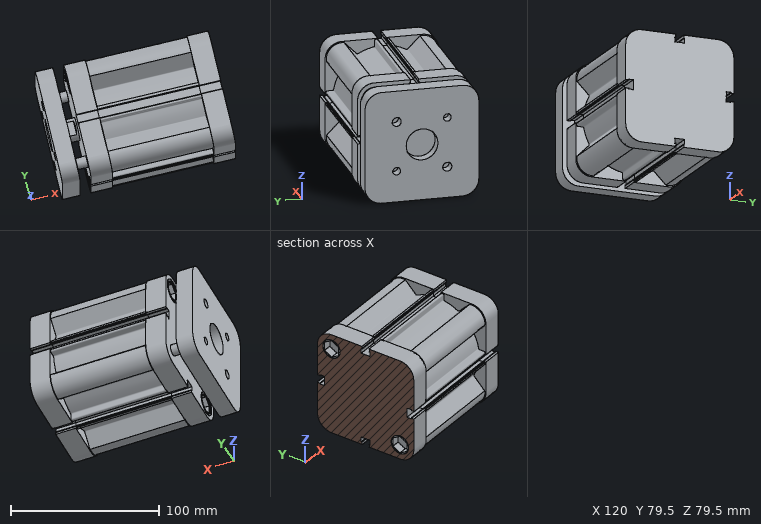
import cadquery as cq
import math

LENGTH = 120.0
SIDE = 79.5
PLATE_THICKNESS = 12.2
CAP_THICKNESS = 14.9
FRONT_CAP_X = 19.8
BARREL_X = FRONT_CAP_X + CAP_THICKNESS
REAR_CAP_X = LENGTH - CAP_THICKNESS
BARREL_LENGTH = REAR_CAP_X - BARREL_X
GAP_LENGTH = FRONT_CAP_X - PLATE_THICKNESS

CORNER_RADIUS = 11.6
CORNER_OFFSET = SIDE / 2 - CORNER_RADIUS

PLATE_BORE_RADIUS = 11.0
PLATE_HOLE_DEPTH = 7.5
PLATE_HOLE_OFFSET = 17.6
DOWEL_HOLE_RADIUS = 2.6
THREAD_HOLE_RADIUS = 3.1
GUIDE_RADIUS = 4.0

ROD_RADIUS = 8.0
ROD_CHAMFER = 0.5
FLAT_HALF_WIDTH = 6.5
FLAT_END_X = 18.2
FLAT_RUNOUT = 0.5

SCREW_OUTER_RADIUS = 8.4
SCREW_INNER_RADIUS = 7.0
SCREW_STEP_DEPTH = 0.4
SOCKET_ACROSS_FLATS = 11.5
SOCKET_DEPTH = 6.1

SLOT_HALF_WIDTH = 2.9
SLOT_LIP = 2.3
SLOT_INNER_HALF_WIDTH = 3.5
SLOT_DEPTH = 5.6
SLOT_MOUTH_BEVEL = 0.4

TUBE_RADIUS = 34.3
BARREL_CORNER_RADIUS = 10.8
CORNER_EDGE = 26.4
RAIL_HALF_WIDTH = 5.3
RAIL_TOP = 39.1
BARREL_FILLET = 1.0


def yz_plane(x):
    """Workplane facing +X at the given X; its local axes are Y and Z."""
    return cq.Workplane("YZ", origin=(x, 0, 0))


def rounded_block(x, thickness):
    """Square block with rounded corners, starting at x."""
    return yz_plane(x).rect(SIDE, SIDE).extrude(thickness).edges("|X").fillet(CORNER_RADIUS)


def turned(point, quarter_turns):
    """Turn a (y, z) point clockwise about the part's axis, by quarter turns."""
    y, z = point
    for _ in range(quarter_turns):
        y, z = z, -y
    return y, z


def polar(centre, radius, angle):
    """Point at a radius and angle around a (y, z) centre."""
    return centre[0] + radius * math.cos(angle), centre[1] + radius * math.sin(angle)


def angle_of(point):
    """Angle of a (y, z) point around the part's axis."""
    return math.atan2(point[1], point[0])


def mirrored(point):
    """Mirror image of a (y, z) point across the XZ plane."""
    return -point[0], point[1]


def on_four_sides(shape):
    """Copies of a shape, turned to each of the four long sides."""
    return [shape.rotate((0, 0, 0), (1, 0, 0), 90 * side) for side in range(4)]


def t_slot(x, length):
    """Cutter for the T-slot of the top side."""
    top = SIDE / 2
    lip_z = top - SLOT_LIP
    floor_z = top - SLOT_DEPTH
    half = [
        (SLOT_HALF_WIDTH, top),
        (SLOT_HALF_WIDTH, lip_z),
        (SLOT_INNER_HALF_WIDTH, lip_z),
        (SLOT_INNER_HALF_WIDTH, floor_z),
    ]
    other_half = [mirrored(point) for point in reversed(half)]
    return yz_plane(x).polyline(half + other_half).close().extrude(length)


def slot_mouth(x, length):
    """Cutter for the bevelled mouth of a slot between the barrel's rails."""
    bevel_z = RAIL_TOP - SLOT_MOUTH_BEVEL
    wide = SLOT_HALF_WIDTH + SLOT_MOUTH_BEVEL
    outline = [(-SLOT_HALF_WIDTH, bevel_z), (-wide, RAIL_TOP), (wide, RAIL_TOP), (SLOT_HALF_WIDTH, bevel_z)]
    return yz_plane(x).polyline(outline).close().extrude(length)


def make_cap(x):
    cap = rounded_block(x, CAP_THICKNESS)
    for slot in on_four_sides(t_slot(x, CAP_THICKNESS)):
        cap = cap.cut(slot)
    return cap


def make_front_cap():
    """Front cap with two sunken socket screws on one diagonal."""
    cap = make_cap(FRONT_CAP_X)
    inner_depth = 2 * SCREW_STEP_DEPTH
    socket_depth = inner_depth + SOCKET_DEPTH
    across_corners = SOCKET_ACROSS_FLATS / math.cos(math.pi / 6)
    for offset in (CORNER_OFFSET, -CORNER_OFFSET):
        face = yz_plane(FRONT_CAP_X).center(offset, offset)
        outer_recess = face.circle(SCREW_OUTER_RADIUS).extrude(SCREW_STEP_DEPTH)
        inner_recess = face.circle(SCREW_INNER_RADIUS).extrude(inner_depth)
        socket = face.transformed(rotate=(0, 0, 90)).polygon(6, across_corners).extrude(socket_depth)
        cap = cap.cut(outer_recess).cut(inner_recess).cut(socket)
    return cap


def barrel_outline():
    """Closed barrel outline: four rails, round valleys, 45 degree walls and round corners."""
    axis = (0, 0)
    fillet = BARREL_FILLET
    fillet_reach = TUBE_RADIUS + fillet
    eighth_turn = math.pi / 4

    corner_rise = math.sqrt(BARREL_CORNER_RADIUS**2 - (CORNER_OFFSET - CORNER_EDGE) ** 2)
    corner_edge = (CORNER_EDGE, CORNER_OFFSET + corner_rise)
    corner_mid = polar((CORNER_OFFSET, CORNER_OFFSET), BARREL_CORNER_RADIUS, eighth_turn)

    rail_centre = (RAIL_HALF_WIDTH - fillet, RAIL_TOP - fillet)
    rail_flat = (rail_centre[0], RAIL_TOP)
    rail_mid = polar(rail_centre, fillet, eighth_turn)
    rail_side = (RAIL_HALF_WIDTH, rail_centre[1])

    root_y = RAIL_HALF_WIDTH + fillet
    root_centre = (root_y, math.sqrt(fillet_reach**2 - root_y**2))
    root_angle = angle_of(root_centre)
    root_start = (RAIL_HALF_WIDTH, root_centre[1])
    root_mid = polar(root_centre, fillet, (root_angle + 2 * math.pi) / 2)
    root_end = polar(axis, TUBE_RADIUS, root_angle)

    foot_rise = corner_edge[1] - corner_edge[0] + fillet * math.sqrt(2)
    foot_y = (math.sqrt(2 * fillet_reach**2 - foot_rise**2) - foot_rise) / 2
    foot_centre = (foot_y, foot_y + foot_rise)
    foot_angle = angle_of(foot_centre)
    foot_start = polar(axis, TUBE_RADIUS, foot_angle)
    foot_mid = polar(foot_centre, fillet, (foot_angle - math.pi - eighth_turn) / 2)
    foot_end = polar(foot_centre, fillet, -eighth_turn)

    valley_mid = polar(axis, TUBE_RADIUS, (root_angle + foot_angle) / 2)

    outline = yz_plane(BARREL_X).moveTo(*mirrored(corner_edge))
    for side in range(4):

        def right(point):
            return turned(point, side)

        def left(point):
            return turned(mirrored(point), side)

        outline = (
            outline.lineTo(*left(foot_end))
            .threePointArc(left(foot_mid), left(foot_start))
            .threePointArc(left(valley_mid), left(root_end))
            .threePointArc(left(root_mid), left(root_start))
            .lineTo(*left(rail_side))
            .threePointArc(left(rail_mid), left(rail_flat))
            .lineTo(*right(rail_flat))
            .threePointArc(right(rail_mid), right(rail_side))
            .lineTo(*right(root_start))
            .threePointArc(right(root_mid), right(root_end))
            .threePointArc(right(valley_mid), right(foot_start))
            .threePointArc(right(foot_mid), right(foot_end))
            .lineTo(*right(corner_edge))
            .threePointArc(right(corner_mid), turned(mirrored(corner_edge), side + 1))
        )
    return outline.close()


def make_barrel():
    barrel = barrel_outline().extrude(BARREL_LENGTH)
    for cutter in (t_slot(BARREL_X, BARREL_LENGTH), slot_mouth(BARREL_X, BARREL_LENGTH)):
        for copy in on_four_sides(cutter):
            barrel = barrel.cut(copy)
    return barrel


def make_plate():
    """Moving plate with its blind holes and the two guide rods fixed in it."""
    hole = PLATE_HOLE_OFFSET
    plate = rounded_block(0, PLATE_THICKNESS)
    hole_groups = [
        (PLATE_BORE_RADIUS, [(0, 0)]),
        (THREAD_HOLE_RADIUS, [(hole, hole), (-hole, -hole)]),
        (DOWEL_HOLE_RADIUS, [(hole, -hole), (-hole, hole)]),
    ]
    for radius, centres in hole_groups:
        plate = plate.cut(yz_plane(0).pushPoints(centres).circle(radius).extrude(PLATE_HOLE_DEPTH))
    rod_centres = [(CORNER_OFFSET, -CORNER_OFFSET), (-CORNER_OFFSET, CORNER_OFFSET)]
    rods = yz_plane(PLATE_THICKNESS).pushPoints(rod_centres).circle(GUIDE_RADIUS).extrude(GAP_LENGTH)
    return plate.union(rods)


def make_piston_rod():
    """Piston rod with a chamfered front end and sloped run-outs behind its flats."""
    rod = yz_plane(PLATE_THICKNESS).circle(ROD_RADIUS).extrude(GAP_LENGTH).faces("<X").chamfer(ROD_CHAMFER)
    for side in (1, -1):
        flat = [
            (PLATE_THICKNESS, side * FLAT_HALF_WIDTH),
            (FLAT_END_X, side * FLAT_HALF_WIDTH),
            (FLAT_END_X + FLAT_RUNOUT, side * ROD_RADIUS),
            (PLATE_THICKNESS, side * ROD_RADIUS),
        ]
        rod = rod.cut(cq.Workplane("XZ").polyline(flat).close().extrude(ROD_RADIUS, both=True))
    return rod


plate = make_plate()
piston_rod = make_piston_rod()
front_cap = make_front_cap()
barrel = make_barrel()
rear_cap = make_cap(REAR_CAP_X)

result = cq.Compound.makeCompound(
    [plate.val(), piston_rod.val(), front_cap.val(), barrel.val(), rear_cap.val()]
)